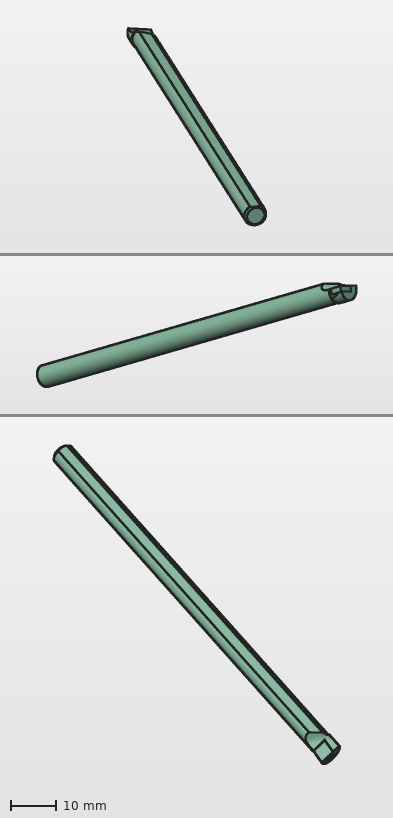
import cadquery as cq
import math


total_length = 99.98
shank_radius = 2.5
flat_height = 2.19
head_radius = 2.68
head_length = 4.2
rear_chamfer = 0.5

tip_y = 2.9
tip_z = -0.1
rake_angle = 13.0
lead_angle = 6.0
clearance_angle = 7.0

insert_side = 3.55
insert_thickness = 1.3

recess_angle = 60.0
recess_floor_end = 4.4
recess_round = 2.25
recess_wall_angle = 47.0

cut_reach = 10.0

rake = math.radians(rake_angle)
lead = math.radians(lead_angle)
along = cq.Vector(1, 0, 0)
outward = cq.Vector(0, math.cos(rake), -math.sin(rake))
floor_normal = along.cross(outward)
tip = cq.Vector(0, tip_y, tip_z)
side_edge = along * math.cos(lead) - outward * math.sin(lead)
end_edge = along * math.sin(lead) - outward * math.cos(lead)


def clearance_block(edge, away):
    """Block outside the relieved face below a cutting edge; `away` points out of the tool."""
    lean = math.radians(clearance_angle)
    face_normal = away * math.cos(lean) - floor_normal * math.sin(lean)
    face = cq.Plane(origin=tip, xDir=edge, normal=face_normal)
    return cq.Workplane(face).rect(2 * cut_reach, 2 * cut_reach).extrude(cut_reach)


end_clearance = clearance_block(end_edge, end_edge.cross(floor_normal))
side_clearance = clearance_block(side_edge, floor_normal.cross(side_edge))


def rhombic_prism(bottom, top):
    """Prism over the insert outline, between two heights measured from the recess floor."""
    start = tip + floor_normal * bottom
    side = side_edge * insert_side
    end = end_edge * insert_side
    outline = cq.Wire.makePolygon([start, start + side, start + side + end, start + end], close=True)
    return cq.Workplane(cq.Solid.extrudeLinear(outline, [], floor_normal * (top - bottom)))


def make_recess():
    """Everything above the recess floor, its round and its wall."""
    slant = math.radians(recess_angle)
    wall = math.radians(recess_wall_angle)
    across = along * math.sin(slant) - outward * math.cos(slant)
    profile_plane = cq.Plane(origin=tip, xDir=across, normal=across.cross(floor_normal))

    def round_point(angle):
        return (
            recess_floor_end + recess_round * math.sin(angle),
            recess_round * (1 - math.cos(angle)),
        )

    wall_start = round_point(wall)
    wall_end = (
        wall_start[0] + cut_reach * math.cos(wall),
        wall_start[1] + cut_reach * math.sin(wall),
    )
    return (
        cq.Workplane(profile_plane)
        .moveTo(-cut_reach, 0)
        .lineTo(recess_floor_end, 0)
        .threePointArc(round_point(wall / 2), wall_start)
        .lineTo(*wall_end)
        .lineTo(-cut_reach, wall_end[1])
        .close()
        .extrude(cut_reach, both=True)
    )


def make_bar():
    """Chamfered shank with the wider head in front, flattened along the top."""
    shank = (
        cq.Workplane("YZ", origin=(head_length, 0, 0))
        .circle(shank_radius)
        .extrude(total_length - head_length)
        .faces(">X")
        .chamfer(rear_chamfer)
    )
    head = (
        cq.Workplane("YZ")
        .circle(head_radius)
        .extrude(head_length)
        .cut(end_clearance)
        .cut(side_clearance)
    )
    above_flat = cq.Workplane("XY").box(
        total_length, 2 * cut_reach, cut_reach, centered=(False, True, False)
    )
    return shank.union(head).cut(above_flat.translate((0, 0, flat_height)))


def make_holder():
    """Bar with the chip recess and an insert pocket that is open at the top."""
    pocket = rhombic_prism(-insert_thickness, cut_reach)
    return make_bar().cut(make_recess()).cut(pocket)


def make_insert():
    """Insert plate with relieved faces below its two cutting edges."""
    return rhombic_prism(-insert_thickness, 0).cut(end_clearance).cut(side_clearance)


holder = make_holder()
insert = make_insert()
result = cq.Compound.makeCompound([holder.solids().val(), insert.solids().val()])